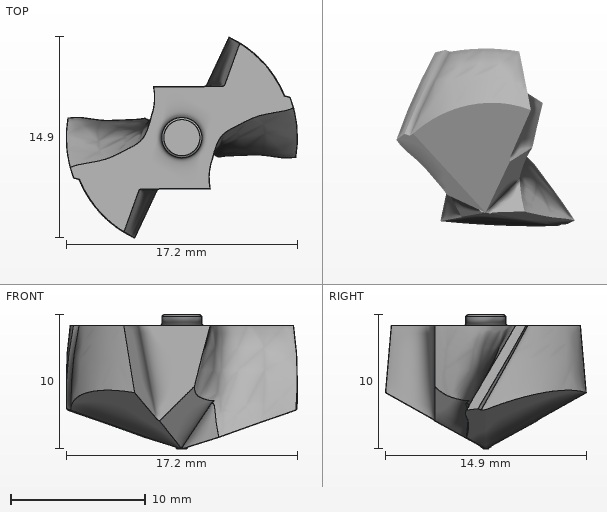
import cadquery as cq
import math

body_height = 9.18
margin_radius = 8.6
clearance_radius = 8.25
body_twist = 36.0
oversize = 20.64

heel_outside = (2.4, -5.16)
flute_heel = (2.12, -3.8)
flute_curve = [(2.05, -2.67), (2.32, -1.35), (3.0, 0.15), (4.11, 0.9), (5.97, 1.69), (7.22, 1.91)]
corner_angle = 14.9
land_end_angle = 20.4
clearance_start_angle = 22.2
clearance_end_angle = 108.0

flat_distance = 3.8
flank_corner_x = 3.15
flank_spread = math.tan(math.radians(19.9))
flank_lean = math.tan(math.radians(10.9))
recess_fillet = 0.25

lip_slope = math.tan(math.radians(19.5))
main_relief = (-lip_slope, -math.tan(math.radians(21.5)))
lip_relief = (-lip_slope, -0.08)
gash_floor = (0.99, -0.98)
gash_wall_angle = -27.8
gash_fillet = 0.25

stud_radius = 1.5
stud_height = 0.83
stud_chamfer = 0.15
stud_base_fillet = 0.15


def half_turn(shape):
    return shape.rotate((0, 0, 0), (0, 0, 1), 180)


def polar(radius, angle):
    return (radius * math.cos(math.radians(angle)), radius * math.sin(math.radians(angle)))


def opposite(point):
    return (-point[0], -point[1])


def add_half_outline(sketch, place):
    """Draw one flute, land and clearance arc, ending at the next heel."""
    flute_points = [flute_heel] + flute_curve + [polar(margin_radius, corner_angle)]
    land_middle = polar(margin_radius, (corner_angle + land_end_angle) / 2)
    clearance_middle = polar(clearance_radius, (clearance_start_angle + clearance_end_angle) / 2)
    return (
        sketch.lineTo(*place(flute_heel))
        .spline([place(p) for p in flute_points[1:]], includeCurrent=True)
        .threePointArc(place(land_middle), place(polar(margin_radius, land_end_angle)))
        .lineTo(*place(polar(clearance_radius, clearance_start_angle)))
        .threePointArc(place(clearance_middle), place(polar(clearance_radius, clearance_end_angle)))
        .lineTo(*place(opposite(heel_outside)))
    )


def fluted_body():
    """Twist the section so that it has its stated position on the mounting face."""
    section = cq.Workplane("XY").moveTo(*heel_outside)
    section = add_half_outline(section, lambda point: point)
    section = add_half_outline(section, opposite).close()
    return (
        section.twistExtrude(body_height, body_twist)
        .rotate((0, 0, 0), (0, 0, 1), -body_twist)
        .translate((0, 0, -body_height))
    )


def back_recess():
    """Cutter behind the +Y blade, bounded by the flat and the leaning flank."""
    def outline_at(z):
        inner_x = flank_corner_x + flank_lean * z
        outer_x = inner_x + flank_spread * (oversize - flat_distance)
        return [
            (inner_x, flat_distance),
            (outer_x, oversize),
            (-oversize, oversize),
            (-oversize, flat_distance),
        ]

    lower_z = -body_height
    cutter = (
        cq.Workplane("XY", origin=(0, 0, lower_z)).polyline(outline_at(lower_z)).close()
        .workplane(offset=body_height).polyline(outline_at(0)).close()
        .loft(ruled=True)
    )
    middle = (flank_corner_x + flank_lean * lower_z / 2, flat_distance, lower_z / 2)
    return cutter.edges(cq.selectors.NearestToPointSelector(middle)).fillet(recess_fillet)


def space_above(slopes):
    """Block above a plane through the apex with the given x and y slopes."""
    plane = cq.Plane(origin=(0, 0, -body_height), normal=(-slopes[0], -slopes[1], 1))
    return cq.Workplane(plane).rect(2 * oversize, 2 * oversize).extrude(2 * oversize)


def point_half():
    """Space kept on one side of the gash wall."""
    side = (
        cq.Workplane("XY")
        .box(2 * oversize, oversize, 2 * oversize)
        .translate((0, -oversize / 2, 0))
        .rotate((0, 0, 0), (0, 0, 1), gash_wall_angle)
    )
    for slopes in (main_relief, lip_relief, gash_floor):
        side = side.intersect(space_above(slopes))
    return side


def gash_corner_filler():
    """Concave rounding along the corner between the gash floor and its wall."""
    run, across = polar(1, gash_wall_angle)
    corner = cq.Vector(run, across, gash_floor[0] * run + gash_floor[1] * across).normalized()
    wall_normal = cq.Vector(across, -run, 0)
    floor_normal = cq.Vector(-gash_floor[0], -gash_floor[1], 1)
    section = cq.Plane(origin=(0, 0, -body_height), xDir=wall_normal, normal=corner)

    opening = math.pi - wall_normal.getAngle(floor_normal)
    tangent_length = gash_fillet / math.tan(opening / 2)
    bend_distance = gash_fillet / math.sin(opening / 2) - gash_fillet

    def from_wall(distance, angle):
        return (distance * math.sin(angle), distance * math.cos(angle))

    filler = (
        cq.Workplane(section)
        .lineTo(*from_wall(tangent_length, 0))
        .threePointArc(from_wall(bend_distance, opening / 2), from_wall(tangent_length, opening))
        .close()
        .extrude(oversize / 2)
    )
    return filler.intersect(space_above(main_relief)).intersect(space_above(lip_relief))


def tip_space():
    """Space kept by both halves of the point."""
    half = point_half().union(gash_corner_filler())
    return half.union(half_turn(half))


def stud():
    """Chamfered stud flaring tangentially into the mounting face."""
    flare_radius = stud_radius + stud_base_fillet
    bend = stud_base_fillet * (1 - math.sqrt(0.5))
    return (
        cq.Workplane("XZ")
        .lineTo(flare_radius, 0)
        .threePointArc((stud_radius + bend, bend), (stud_radius, stud_base_fillet))
        .lineTo(stud_radius, stud_height - stud_chamfer)
        .lineTo(stud_radius - stud_chamfer, stud_height)
        .lineTo(0, stud_height)
        .close()
        .revolve(360, (0, 0, 0), (0, 1, 0))
    )


body = fluted_body()
recess = back_recess()
body = body.cut(recess).cut(half_turn(recess))

body = body.intersect(tip_space())

result = body.union(stud())